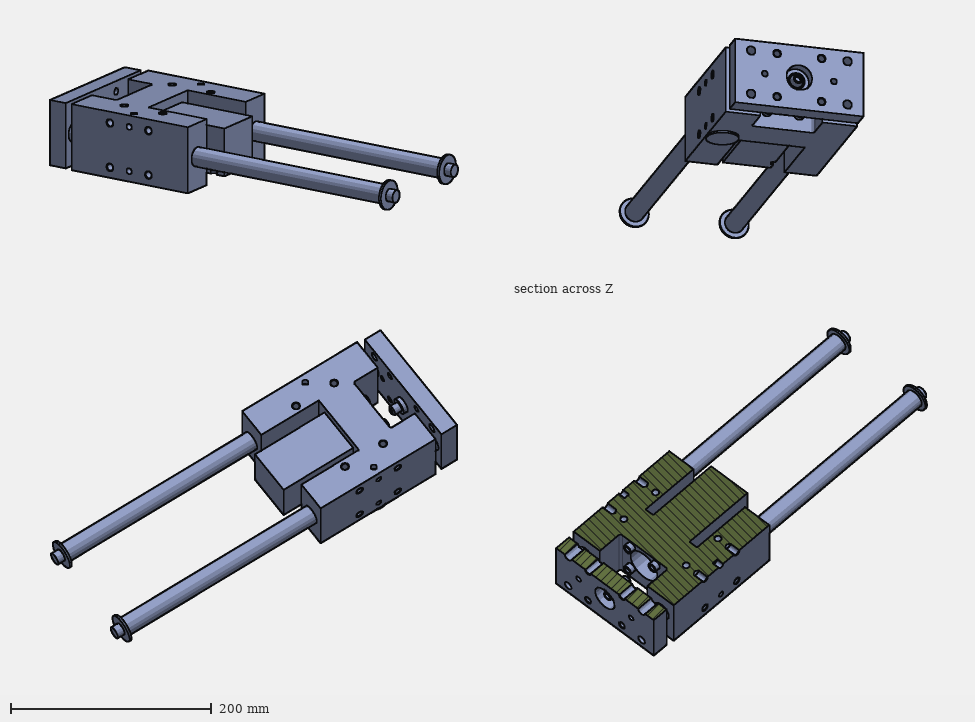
import cadquery as cq
import math


total_length = 406.0
along_rods = cq.Vector(1, 0, 0)

plate_thickness = 19.0
plate_width = 133.5
plate_height = 68.2
plate_bottom = -plate_height / 2
hole_pitch = 46.3
corner_hole_diameter = 9.0
corner_hole_spacing = 100.3
thread_diameter = 7.0
thread_mouth_diameter = 8.0
thread_chamfer = (thread_mouth_diameter - thread_diameter) / 2
pin_hole_diameter = 6.0
plate_pin_spacing = 72.0

recess_diameter = 26.5
recess_depth = 11.5
coupling_flange_diameter = 17.0
coupling_flange_thickness = 5.0
stud_diameter = 10.0
stud_length = 9.7
stud_chamfer = 1.5
nose_base_diameter = 17.0
nose_diameter = 14.2
nose_tip_diameter = 9.5
nose_length = 7.7
nose_base_length = 1.5
nose_socket_diameter = 6.5
nose_socket_depth = 4.0

rod_diameter = 20.0
rod_spacing = 104.0
washer_diameter = 30.0
washer_thickness = 2.5
screw_head_diameter = 13.0
screw_head_length = 8.0
washer_start = total_length - screw_head_length - washer_thickness

housing_start = 27.0
housing_length = 139.5
housing_end = housing_start + housing_length
housing_width = 137.0
housing_height = 69.0
housing_bottom = plate_bottom
housing_top = housing_bottom + housing_height
front_pocket_depth = 29.5
front_pocket_width = 64.5
front_pocket_radius = 2.5
rear_pocket_depth = 70.0
rear_pocket_width = 70.0
web_front = housing_start + front_pocket_depth
web_back = housing_end - rear_pocket_depth

hole_group_x = 96.2
top_thread_spacing = 85.3
top_pin_spacing = 119.5
thread_depth = 12.0
pin_hole_depth = 8.0
drill_tip_angle = 118.0

block_size = 50.0
block_end = 181.5
piston_bore_diameter = 36.5
bolt_head_diameter = 10.0
bolt_head_length = 6.0
bolt_spacing = 33.5
bolt_socket_diameter = 6.0
bolt_socket_depth = 3.2
port_diameter = 8.0
port_height = 6.5
port_mouth_diameter = 7.5
port_mouth_height = 3.0
port_x = 169.0

pad_diameter = 33.0
pad_thickness = 2.0
pad_x = 93.0


def box(x_start, x_end, width, z_start, z_end):
    """Block centred on Y = 0."""
    size = (x_end - x_start, width, z_end - z_start)
    return cq.Workplane("XY").box(*size, centered=(False, True, False)).translate((x_start, 0, z_start))


def rod(x_start, x_end, diameter, y=0, z=0):
    """Round bar along X."""
    bar = cq.Solid.makeCylinder(diameter / 2, x_end - x_start, cq.Vector(x_start, y, z), along_rods)
    return cq.Workplane(bar)


def grid(first_spacing, second_spacing):
    """The four corners of a rectangle centred on the origin."""
    return [(i * first_spacing / 2, j * second_spacing / 2) for i in (-1, 1) for j in (-1, 1)]


def cone(start, direction, start_radius, end_radius, length):
    """Cone or truncated cone that starts at a point and runs along a direction."""
    return cq.Workplane(cq.Solid.makeCone(start_radius, end_radius, length, start, direction))


def thread_mouth(point, direction):
    """Cutter for the chamfer at the mouth of a threaded hole."""
    return cone(point, direction, thread_mouth_diameter / 2, thread_diameter / 2, thread_chamfer)


def threaded_hole(point, direction):
    """Cutter for a blind hole with a chamfered mouth and a conical drill tip."""
    radius = thread_diameter / 2
    tip_length = radius / math.tan(math.radians(drill_tip_angle / 2))
    shaft = cq.Workplane(cq.Solid.makeCylinder(radius, thread_depth, point, direction))
    mouth = thread_mouth(point, direction)
    tip = cone(point + direction * thread_depth, direction, radius, 0, tip_length)
    return shaft.union(mouth).union(tip)


def pin_hole(point, direction):
    """Cutter for a blind flat-bottomed hole."""
    return cq.Workplane(cq.Solid.makeCylinder(pin_hole_diameter / 2, pin_hole_depth, point, direction))


def make_plate():
    plate = box(0, plate_thickness, plate_width, plate_bottom, plate_bottom + plate_height)
    for y, z in grid(corner_hole_spacing, hole_pitch):
        plate = plate.cut(rod(0, plate_thickness, corner_hole_diameter, y, z))
    for y, z in grid(hole_pitch, hole_pitch):
        plate = plate.cut(rod(0, plate_thickness, thread_diameter, y, z))
        plate = plate.cut(thread_mouth(cq.Vector(0, y, z), along_rods))
    for side in (-1, 1):
        plate = plate.cut(rod(0, plate_thickness, pin_hole_diameter, side * plate_pin_spacing / 2))
    return plate.cut(rod(0, recess_depth, recess_diameter))


def make_coupling():
    """Flanged stud behind the plate and its tapered nose inside the recess."""
    flange_end = plate_thickness + coupling_flange_thickness
    flange = rod(plate_thickness, flange_end, coupling_flange_diameter)
    stud = rod(flange_end, flange_end + stud_length, stud_diameter).faces(">X").chamfer(stud_chamfer)
    nose_tip = recess_depth - nose_length
    nose_base = recess_depth - nose_base_length
    base = rod(nose_base, recess_depth, nose_base_diameter)
    taper_length = nose_base - nose_tip
    tip_centre = cq.Vector(nose_tip, 0, 0)
    taper = cone(tip_centre, along_rods, nose_tip_diameter / 2, nose_diameter / 2, taper_length)
    nose = base.union(taper).cut(rod(nose_tip, nose_tip + nose_socket_depth, nose_socket_diameter))
    return flange.union(stud).union(nose)


def make_guide_rod(y):
    shaft = rod(plate_thickness, washer_start, rod_diameter, y)
    washer = rod(washer_start, washer_start + washer_thickness, washer_diameter, y)
    screw_head = rod(total_length - screw_head_length, total_length, screw_head_diameter, y)
    return shaft.union(washer).union(screw_head)


def make_carriage():
    carriage = make_plate().union(make_coupling())
    for side in (-1, 1):
        carriage = carriage.union(make_guide_rod(side * rod_spacing / 2))
    return carriage


def make_h_frame():
    """Two arms joined by a web, with a pocket in front of the web and one behind it."""
    frame = box(housing_start, housing_end, housing_width, housing_bottom, housing_top)
    front_pocket = box(housing_start, web_front, front_pocket_width, housing_bottom, housing_top)
    front_pocket = front_pocket.edges("|Z and >X").fillet(front_pocket_radius)
    rear_pocket = box(web_back, housing_end, rear_pocket_width, housing_bottom, housing_top)
    return frame.cut(front_pocket).cut(rear_pocket)


def make_block():
    """Square cylinder block with a stepped round port notch at the bottom of its -Y side."""
    half = block_size / 2
    block = box(web_back, block_end, block_size, -half, half)
    mouth = cq.Workplane("XY").circle(port_mouth_diameter / 2).extrude(port_mouth_height)
    seat = cq.Workplane("XY").circle(port_diameter / 2).extrude(port_height - port_mouth_height)
    port = mouth.union(seat.translate((0, 0, port_mouth_height)))
    return block.cut(port.translate((port_x, -half, -half)))


def make_bolt_head(y, z):
    head_start = web_front - bolt_head_length
    head = rod(head_start, web_front, bolt_head_diameter, y, z)
    return head.cut(rod(head_start, head_start + bolt_socket_depth, bolt_socket_diameter, y, z))


def cut_face_holes(housing):
    """Threaded and pin holes in the top face and in both outer sides."""
    up = cq.Vector(0, 0, 1)
    for x, y in grid(hole_pitch, top_thread_spacing):
        housing = housing.cut(threaded_hole(cq.Vector(hole_group_x + x, y, housing_top), -up))
    for side in (-1, 1):
        outward = cq.Vector(0, side, 0)
        side_y = side * housing_width / 2
        housing = housing.cut(pin_hole(cq.Vector(hole_group_x, side * top_pin_spacing / 2, housing_top), -up))
        for x, z in grid(hole_pitch, hole_pitch):
            housing = housing.cut(threaded_hole(cq.Vector(hole_group_x + x, side_y, z), -outward))
        for z in (-hole_pitch / 2, hole_pitch / 2):
            housing = housing.cut(pin_hole(cq.Vector(hole_group_x, side_y, z), -outward))
    return housing


def make_pad():
    """Thin round pad under the +Y arm, in line with its rod."""
    pad = cq.Workplane("XY").circle(pad_diameter / 2).extrude(-pad_thickness)
    return pad.translate((pad_x, rod_spacing / 2, housing_bottom))


def make_housing():
    housing = cut_face_holes(make_h_frame()).union(make_block())
    for y, z in grid(bolt_spacing, bolt_spacing):
        housing = housing.union(make_bolt_head(y, z))
    housing = housing.cut(rod(web_front, web_back, piston_bore_diameter))
    housing = housing.union(make_pad())
    for side in (-1, 1):
        housing = housing.cut(rod(housing_start, housing_end, rod_diameter, side * rod_spacing / 2))
    return housing


carriage = make_carriage()
housing = make_housing()
result = cq.Compound.makeCompound([carriage.solids().val(), housing.solids().val()])